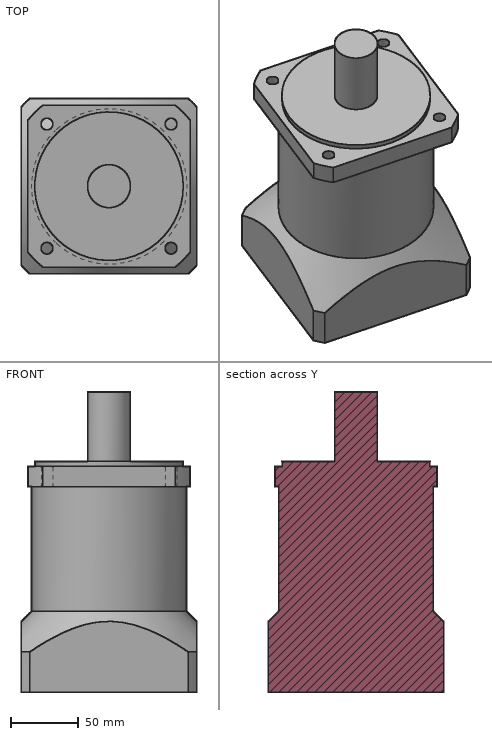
import cadquery as cq

total_height = 222.7
base_corner_height = 30.0
shaft_length = 51.5
pilot_height = 3.8
flange_thickness = 15.0

base_side = 130.0
base_corner_diameter = 175.3

body_diameter = 115.1

flange_side = 120.0
flange_corner_diameter = 155.0
hole_diameter = 8.7
hole_spacing = 92.0

pilot_diameter = 110.0
shaft_diameter = 31.8

shoulder_height = (base_corner_diameter - body_diameter) / 2
body_bottom = base_corner_height + shoulder_height
pilot_top = total_height - shaft_length
flange_top = pilot_top - pilot_height
flange_bottom = flange_top - flange_thickness


def cylinder(diameter, bottom, top):
    """Solid cylinder on the Z axis between two heights."""
    return cq.Workplane("XY").workplane(offset=bottom).circle(diameter / 2).extrude(top - bottom)


def square_block(side, bottom, top):
    """Square block centred on the Z axis between two heights."""
    return cq.Workplane("XY").workplane(offset=bottom).rect(side, side).extrude(top - bottom)


def make_base():
    """Square adapter block turned to a conical shoulder above its corners."""
    turned_blank = (
        cq.Workplane("XZ")
        .lineTo(base_corner_diameter / 2, 0)
        .lineTo(base_corner_diameter / 2, base_corner_height)
        .lineTo(body_diameter / 2, body_bottom)
        .lineTo(0, body_bottom)
        .close()
        .revolve(360, (0, 0, 0), (0, 1, 0))
    )
    return turned_blank.intersect(square_block(base_side, 0, body_bottom))


def make_flange():
    """Square mounting flange with rounded corners and four through holes."""
    plate = square_block(flange_side, flange_bottom, flange_top)
    plate = plate.intersect(cylinder(flange_corner_diameter, flange_bottom, flange_top))
    holes = (
        cq.Workplane("XY")
        .workplane(offset=flange_bottom)
        .rect(hole_spacing, hole_spacing, forConstruction=True)
        .vertices()
        .circle(hole_diameter / 2)
        .extrude(flange_thickness)
    )
    return plate.cut(holes)


body = cylinder(body_diameter, body_bottom, flange_bottom)
pilot = cylinder(pilot_diameter, flange_top, pilot_top)
shaft = cylinder(shaft_diameter, pilot_top, total_height)

result = make_base().union(body).union(make_flange()).union(pilot).union(shaft)